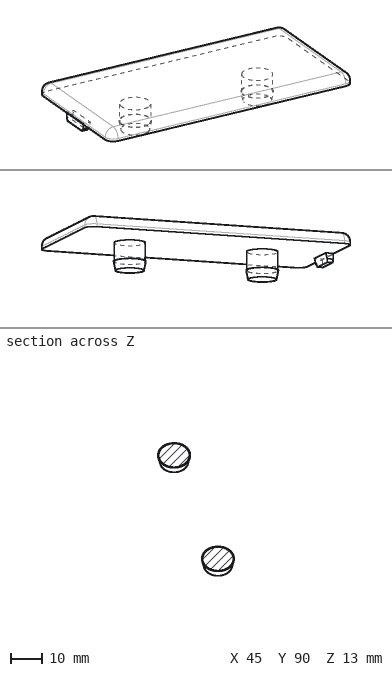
import cadquery as cq

plate_width = 45.0
plate_length = 90.0
plate_thickness = 4.0
edge_radius = 3.0

peg_spacing = 45.0
peg_length = 9.0
peg_diameter = 9.9
lip_diameter = 10.35
tip_diameter = 9.2
taper_length = 3.0

catch_width = 10.4
catch_height = 2.9
catch_inset = 0.3
catch_root_depth = 2.6
catch_tip_depth = 1.8
catch_corner_width = 0.6
catch_corner_height = 1.0


def make_plate():
    """Flat plate with rounded corners and a rounded upper rim."""
    plate = cq.Workplane("XY").box(
        plate_width, plate_length, plate_thickness, centered=(True, True, False)
    )
    return plate.edges("|Z").fillet(edge_radius).faces(">Z").edges().fillet(edge_radius)


def make_peg(y):
    """Straight shank with a small lip and a tapered tip."""
    lip_z = taper_length - peg_length
    shank = cq.Workplane("XY").workplane(offset=lip_z).circle(peg_diameter / 2).extrude(-lip_z)
    tip = (
        cq.Workplane("XY").workplane(offset=-peg_length).circle(tip_diameter / 2)
        .workplane(offset=taper_length).circle(lip_diameter / 2)
        .loft()
    )
    return shank.union(tip).translate((0, y, 0))


def make_catch():
    """Wedge with a sloping inner face and beveled lower corners."""
    outer_y = -plate_length / 2 + catch_inset
    wedge = (
        cq.Workplane("YZ")
        .moveTo(outer_y, 0)
        .lineTo(outer_y, -catch_height)
        .lineTo(outer_y + catch_tip_depth, -catch_height)
        .lineTo(outer_y + catch_root_depth, 0)
        .close()
        .extrude(catch_width / 2, both=True)
    )
    half_width = catch_width / 2
    bevel_z = catch_corner_height - catch_height
    bottom_half_width = half_width - catch_corner_width
    front_outline = (
        cq.Workplane("XZ", origin=(0, outer_y, 0))
        .moveTo(-half_width, 0)
        .lineTo(-half_width, bevel_z)
        .lineTo(-bottom_half_width, -catch_height)
        .lineTo(bottom_half_width, -catch_height)
        .lineTo(half_width, bevel_z)
        .lineTo(half_width, 0)
        .close()
        .extrude(-catch_root_depth)
    )
    return wedge.intersect(front_outline)


result = make_plate()
for peg_y in (-peg_spacing / 2, peg_spacing / 2):
    result = result.union(make_peg(peg_y))
result = result.union(make_catch())